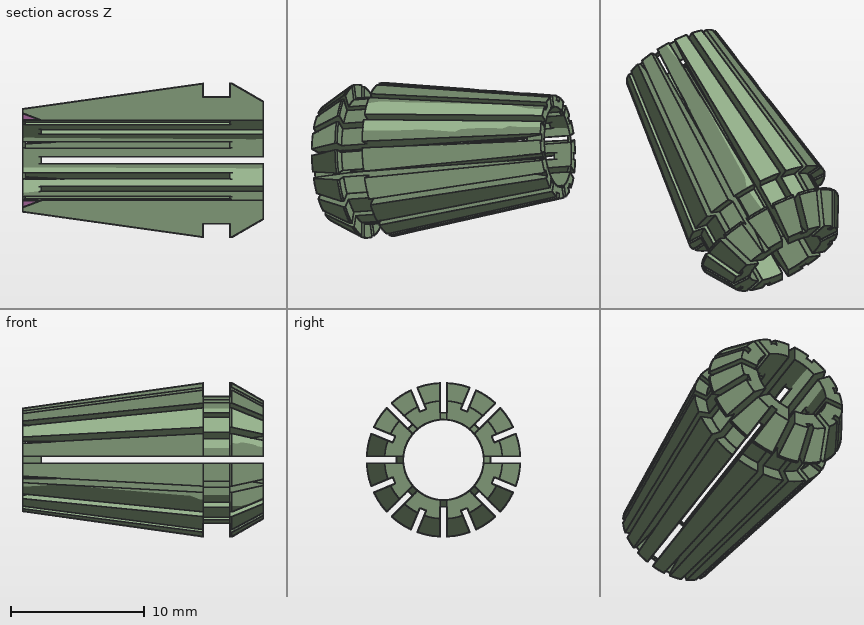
import cadquery as cq
import math


length = 18.0
outer_radius = 5.76
bore_radius = 3.0
taper_angle = 8.0
taper_length = 13.5
groove_width = 2.0
groove_radius = 4.75
rim_width = 0.16
nose_angle = 30.0

slit_width = 0.5
slits_per_end = 8
bridge_length = 0.2
bridge_height = 0.07
front_runout_length = 1.39
front_floor_radius = 3.53
rear_runout_length = 2.52
rear_floor_radius = 4.01

groove_end = taper_length + groove_width
nose_start = groove_end + rim_width
small_end_radius = outer_radius - taper_length * math.tan(math.radians(taper_angle))
large_end_radius = outer_radius - (length - nose_start) * math.tan(math.radians(nose_angle))
slit_pitch = 360.0 / slits_per_end
slit_top = outer_radius + 0.18


def make_body():
    """Turned collet without slits."""
    profile = [
        (0, bore_radius),
        (0, small_end_radius),
        (taper_length, outer_radius),
        (taper_length, groove_radius),
        (groove_end, groove_radius),
        (groove_end, outer_radius),
        (nose_start, outer_radius),
        (length, large_end_radius),
        (length, bore_radius),
    ]
    return cq.Workplane("XY").polyline(profile).close().revolve(360, (0, 0, 0), (1, 0, 0))


def make_slit(outline):
    """Thin plate through the upper wall, from an outline in X and Z."""
    return cq.Workplane("XZ").polyline(outline).close().extrude(slit_width / 2, both=True)


def cut_slits(body, slit, first_angle):
    """Cut one ring of equally spaced slits about the X axis."""
    for index in range(slits_per_end):
        angle = first_angle + index * slit_pitch
        body = body.cut(slit.rotate((0, 0, 0), (1, 0, 0), angle))
    return body


rear_slit = make_slit([
    (0, slit_top),
    (0, front_floor_radius),
    (front_runout_length, bore_radius),
    (front_runout_length, 0),
    (length, 0),
    (length, slit_top),
])

rear_runout_start = length - rear_runout_length
front_slit = make_slit([
    (0, slit_top),
    (0, bore_radius + bridge_height),
    (bridge_length, bore_radius),
    (bridge_length, 0),
    (rear_runout_start, 0),
    (rear_runout_start, bore_radius),
    (length, rear_floor_radius),
    (length, slit_top),
])

result = make_body()
result = cut_slits(result, rear_slit, 0)
result = cut_slits(result, front_slit, slit_pitch / 2)